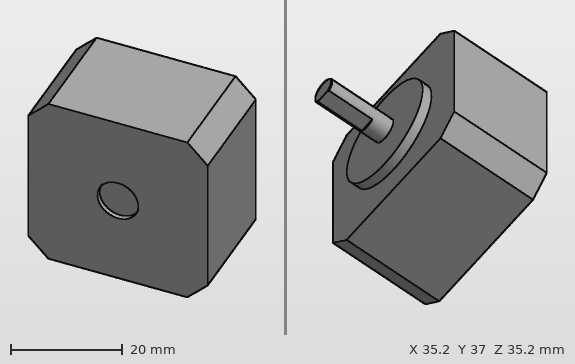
import cadquery as cq

body_width = 35.2
body_depth = 21.0
corner_chamfer = 4.0

recess_diameter = 8.0
recess_depth = 1.0

boss_diameter = 22.0
boss_height = 2.0

total_length = 37
shaft_diameter = 5.0
shaft_tip_chamfer = 0.2
flat_depth = 0.5
flat_start_gap = 4.0

boss_face = body_depth + boss_height
flat_length = total_length - boss_face - flat_start_gap


def cylinder(diameter, start, length):
    """Cylinder about the Y axis, running from y = start toward +Y."""
    axis = cq.Vector(0, 1, 0)
    return cq.Workplane(cq.Solid.makeCylinder(diameter / 2, length, cq.Vector(0, start, 0), axis))


def make_body():
    body = cq.Workplane().box(body_width, body_depth, body_width, centered=(True, False, True))
    body = body.edges("|Y").chamfer(corner_chamfer)
    return body.cut(cylinder(recess_diameter, 0, recess_depth))


def make_shaft():
    shaft = cylinder(shaft_diameter, body_depth, total_length - body_depth)
    shaft = shaft.faces(">Y").chamfer(shaft_tip_chamfer)
    flat_cutter = (
        cq.Workplane()
        .box(shaft_diameter, flat_length, flat_depth, centered=(True, False, False))
        .translate((0, boss_face + flat_start_gap, -shaft_diameter / 2))
    )
    return shaft.cut(flat_cutter)


boss = cylinder(boss_diameter, body_depth, boss_height)
result = make_body().union(boss).union(make_shaft())